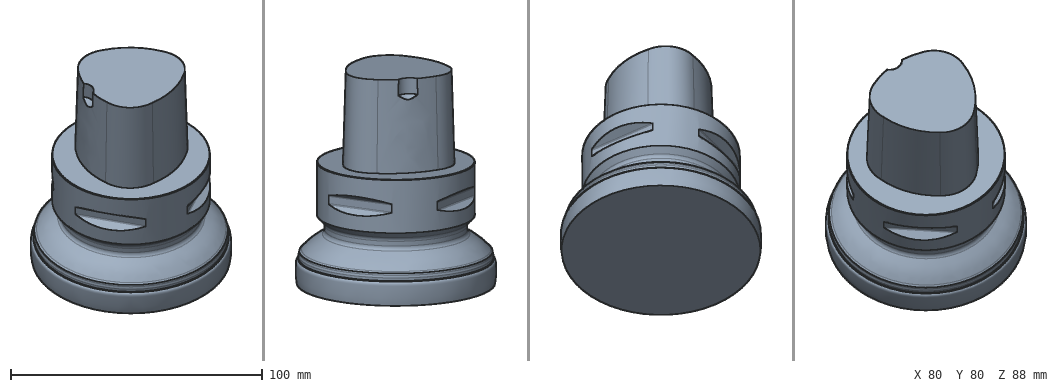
import cadquery as cq
import math

total_height = 88.0
base_radius = 40.0
base_height = 9.8
base_bottom_radius = 39.6
base_belly_z = 4.8
base_flank_radius = 39.95
base_flank_offset = 2.6
base_shoulder = (39.7, 9.15)
base_top_radius = 39.0

flange_radius = 38.9
flange_bottom_bevel = 0.35
flange_edge_radius = 38.6
flange_top = 12.4
flange_bevel_z = 11.4
dome_edge_radius = 37.75
dome_edge_z = 13.8
shoulder_radius = 38.5
shoulder_z = 13.1
dome_mid = (33.9, 17.3)

neck_radius = 57.0 / 2
neck_bottom = 22.0
neck_top = 23.9
neck_fillet = 2.4
dome_angle = math.radians(51)
collar_angle = math.radians(45)

collar_radius = 63.0 / 2
collar_top = 49.8
collar_edge = 0.3

lobe_radius = 23.8
flat_radius = 20.7
seam_radius = 22.2
seam_angle = 25.5
lobe_count = 3
first_lobe_angle = 90.0
shank_inset = 1.1

notch_radius = 4.8
notch_back_y = -17.4
notch_depth = 6.5
notch_tip_height = 3.7

slot_count = 4
slot_first_angle = 45.0
slot_z = 38.0
slot_floor_distance = 27.9
slot_floor_height = 3.5
slot_mouth_height = 7.7
slot_length = 44.0
slot_corner_radius = 0.4


def make_base():
    """Round foot disc with a slightly barrelled side that rolls over at the top."""
    return (
        cq.Workplane("XZ")
        .lineTo(base_bottom_radius, 0)
        .spline(
            [
                (base_flank_radius, base_belly_z - base_flank_offset),
                (base_radius, base_belly_z),
                (base_flank_radius, base_belly_z + base_flank_offset),
                base_shoulder,
                (base_top_radius, base_height),
            ],
            includeCurrent=True,
        )
        .lineTo(0, base_height)
        .close()
        .revolve(360, (0, 0), (0, 1))
    )


def neck_fillet_point(center_z, angle):
    """Point on a concave neck fillet, at a signed angle above its center plane."""
    return (
        neck_radius + neck_fillet * (1 - math.cos(angle)),
        center_z + neck_fillet * math.sin(angle),
    )


def make_holder():
    """Revolved flange, dome, neck and clamping collar."""
    cone_start = neck_fillet_point(neck_top, collar_angle)
    collar_bottom = cone_start[1] + (collar_radius - cone_start[0]) / math.tan(collar_angle)
    return (
        cq.Workplane("XZ")
        .moveTo(0, base_height)
        .lineTo(flange_radius - flange_bottom_bevel, base_height)
        .lineTo(flange_radius, base_height + flange_bottom_bevel)
        .lineTo(flange_radius, flange_bevel_z)
        .lineTo(flange_edge_radius, flange_top)
        .lineTo(shoulder_radius, shoulder_z)
        .lineTo(dome_edge_radius, dome_edge_z)
        .threePointArc(dome_mid, neck_fillet_point(neck_bottom, -dome_angle))
        .threePointArc(neck_fillet_point(neck_bottom, -dome_angle / 2), (neck_radius, neck_bottom))
        .lineTo(neck_radius, neck_top)
        .threePointArc(neck_fillet_point(neck_top, collar_angle / 2), cone_start)
        .lineTo(collar_radius, collar_bottom)
        .lineTo(collar_radius, collar_top - collar_edge)
        .lineTo(collar_radius - collar_edge, collar_top)
        .lineTo(0, collar_top)
        .close()
        .revolve(360, (0, 0), (0, 1))
    )


def polar_point(radius, angle):
    turn = math.radians(angle)
    return (radius * math.cos(turn), radius * math.sin(turn))


def add_lobed_outline(plane, inset):
    """Closed outline of alternating lobe arcs and flatter side arcs."""
    lobe_pitch = 360 / lobe_count
    seam = seam_radius - inset
    outline = plane.moveTo(*polar_point(seam, first_lobe_angle - seam_angle))
    for index in range(lobe_count):
        lobe = first_lobe_angle + index * lobe_pitch
        outline = outline.threePointArc(
            polar_point(lobe_radius - inset, lobe),
            polar_point(seam, lobe + seam_angle),
        ).threePointArc(
            polar_point(flat_radius - inset, lobe + lobe_pitch / 2),
            polar_point(seam, lobe + lobe_pitch - seam_angle),
        )
    return outline.close()


def make_shank():
    """Three-lobed shank that tapers from the collar to the top."""
    foot = add_lobed_outline(cq.Workplane("XY").workplane(offset=collar_top), 0)
    top_plane = foot.workplane(offset=total_height - collar_top)
    return add_lobed_outline(top_plane, shank_inset).loft(ruled=True)


def make_notch():
    """Vertical drilled notch with a conical floor on the -Y side of the shank."""
    floor_z = total_height - notch_depth
    axis_y = notch_back_y - notch_radius
    return (
        cq.Workplane("XZ", origin=(0, axis_y, 0))
        .moveTo(0, floor_z - notch_tip_height)
        .lineTo(notch_radius, floor_z)
        .lineTo(notch_radius, total_height)
        .lineTo(0, total_height)
        .close()
        .revolve(360, (0, 0), (0, 1))
    )


def make_slot(angle):
    """Straight gripper slot with sloped walls across the collar."""
    wall_slope = (slot_mouth_height - slot_floor_height) / 2 / (collar_radius - slot_floor_distance)
    outer_distance = collar_radius + 0.9
    outer_half = slot_floor_height / 2 + wall_slope * (outer_distance - slot_floor_distance)
    return (
        cq.Workplane("XZ")
        .moveTo(slot_floor_distance, slot_z - slot_floor_height / 2)
        .lineTo(outer_distance, slot_z - outer_half)
        .lineTo(outer_distance, slot_z + outer_half)
        .lineTo(slot_floor_distance, slot_z + slot_floor_height / 2)
        .close()
        .extrude(slot_length / 2, both=True)
        .edges("|Y and <X")
        .fillet(slot_corner_radius)
        .rotate((0, 0, 0), (0, 0, 1), angle)
    )


base = make_base()

holder = make_holder().union(make_shank()).cut(make_notch())
for slot_index in range(slot_count):
    holder = holder.cut(make_slot(slot_first_angle + slot_index * 360 / slot_count))

result = cq.Compound.makeCompound([base.val(), holder.val()])